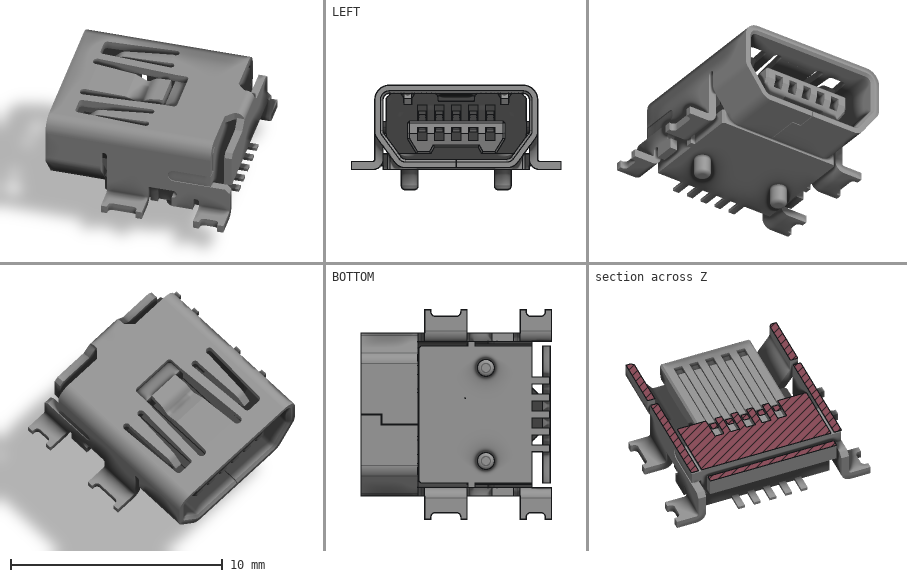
import cadquery as cq
import math


length = 9.0
foot_tip_y = 4.95
base_height = 0.76
top_z = 4.0
peg_length = 0.95
sheet = 0.4

half_width = 3.85
floor_z = 0.1
floor_vertex_y = 2.72
side_vertex_z = 1.64
top_radius = 0.7
lower_radius = 0.63
inner_half_width = half_width - sheet
ceiling_z = top_z - sheet
mouth_chamfer = 0.13

hood_end = 2.69
relief_width = 0.32
side_start = hood_end + relief_width
roof_end = 8.08
relief_top_z = 2.69

foot_bend_radius = 0.1
foot_bend_z = sheet + foot_bend_radius
front_foot = (side_start, 5.01)
rear_foot = (7.51, length)
foot_notch_margin = 0.3
foot_notch_depth = 0.31
foot_notch_radius = 0.2

latch_slot_start = 5.99
latch_slot_bottom = 1.7
latch_slot_top = 2.32
rear_corner_chamfer = 0.21
hook_top_z = 1.11
hook_height = 0.4
hook_end = 6.435
skirt_start = 6.18
skirt_end = 7.21
skirt_z = 0.19
rear_relief_top_z = 0.83
relief_corner = 0.12
relief_rounding = 0.15
slot_rounding = 0.49

seam_gap = 0.04
seam_step_x = 0.97
seam_step_y = 0.48

latch_root_x = 1.26
latch_bend_radius = 0.23
latch_line = [(latch_root_x, top_z), (3.15, 3.88), (3.81, 3.58), (4.19, 3.9), (4.91, 3.96)]
latch_root_half_width = 0.98
latch_tip_half_width = 0.77
latch_slot_left = 0.98
latch_slot_radius = 0.21
latch_outer_front = 1.4
latch_outer_rear = 1.17
latch_window_end = 5.68
latch_window_corner = 0.17

spring_y = 2.29
spring_root_x = 4.54
spring_line = [(1.62, 3.38), (2.1, 3.8), (spring_root_x, top_z)]
spring_root_half_width = 0.33
spring_tip_half_width = 0.15
spring_slot_x = 4.61
spring_slot_radius = 0.17
spring_bend_radius = 0.15
side_window_start = 1.14
side_window_corner = 0.16
side_window_front = 0.47
side_window_rear = 0.64

flap_end = 8.95
flap_thickness = 0.37
flap_half_width = 3.24
flap_top_z = 3.31
flap_bottom_z = 1.53
flap_corner = 0.2
neck_half_width = 0.89
neck_flare_end_z = 3.71
neck_flare = 0.38

wall_start = 5.01
wall_half_width = 3.32
rib_half_width = 3.81
rib_top_z = 2.29
wall_corner = 0.23
wall_slant_top_z = 1.39
wall_foot_half_width = 3.02
base_gap = 0.04
base_start = hood_end + base_gap
base_half_width = 3.24
base_lug_half_width = inner_half_width
base_corner = 0.1
base_lugs = (5.05, 5.4)
peg_x = 5.9
peg_y = 2.2
peg_diameter = 0.8
peg_round = 0.19

tongue_start = 0.45
tongue_top_z = 2.31
tongue_half_width = 2.31
tongue_chamfer = 0.1
tongue_slant_top_z = 1.47
tongue_foot_half_width = 1.88
channel_half_width = 1.03
channel_mouth_half_width = 1.2
channel_top_z = 1.08
tip_slant_top_z = 1.71
tip_slant_end = 0.86
same_height = 0.01

contact_count = 5
contact_pitch = 0.8
contact_width = 0.34
contact_thickness = 0.21
tail_thickness = 0.15
groove_width = 0.44
groove_start = 1.02
contact_top_z = 2.3
tail_end = 8.91
pocket_bottom_z = 1.39
pocket_top_z = 2.0
pocket_end = 2.38
recess_end = 6.14
recess_top_z = 3.07
contact_rear_z = 2.77
contact_line = [
    (1.13, 1.92),
    (1.5, contact_top_z),
    (5.15, contact_top_z),
    (5.64, 2.61),
    (5.74, contact_rear_z),
    (recess_end, contact_rear_z),
]


def box(x, y, z):
    """Box from (start, end) ranges along each axis."""
    size = (x[1] - x[0], y[1] - y[0], z[1] - z[0])
    return cq.Workplane("XY").box(*size, centered=False).translate((x[0], y[0], z[0]))


def along_x(points, start, end):
    """Closed YZ outline extruded from start to end along X."""
    return cq.Workplane("YZ", origin=(start, 0, 0)).polyline(points).close().extrude(end - start)


def along_y(points, width):
    """Closed XZ outline extruded symmetrically about Y = 0."""
    return cq.Workplane("XZ").polyline(points).close().extrude(width / 2, both=True)


def along_z(points, bottom, top):
    """Closed XY outline extruded between two heights."""
    return cq.Workplane("XY", origin=(0, 0, bottom)).polyline(points).close().extrude(top - bottom)


def symmetric(half_outline):
    """Complete a half outline given as (y, z) points with y >= 0."""
    return half_outline + [(-y, z) for y, z in reversed(half_outline)]


def both_sides(body):
    """The +Y body together with its mirror image at -Y."""
    return body.union(body.mirror("XZ"))


def section(outline, start, end):
    """Solid along X with the rounded upper corners of the shell's outer surface."""
    return along_x(outline, start, end).edges("|X and >Z").fillet(top_radius)


def hollow(solid, start, end):
    """Solid filling the space inside a one-sheet-thick wall of the given section."""
    outline = solid.faces("<X").wires().val().offset2D(-sheet)
    return cq.Workplane("YZ", origin=(start, 0, 0)).add(outline).toPending().extrude(end - start)


def hood():
    """Closed six-sided tube around the mouth."""
    outline = symmetric([
        (floor_vertex_y, floor_z),
        (half_width, side_vertex_z),
        (half_width, top_z),
    ])
    solid = section(outline, 0, hood_end)
    low_corners = cq.selectors.BoxSelector((0, -foot_tip_y, 0), (hood_end, foot_tip_y, latch_slot_top))
    solid = solid.edges("|X").edges(low_corners).fillet(lower_radius)
    tube = solid.cut(hollow(solid, 0, hood_end))
    mouth_edges = tube.faces("<X").val().innerWires()[0].Edges()
    return tube.newObject(mouth_edges).chamfer(mouth_chamfer).cut(floor_seam())


def floor_seam():
    """Narrow stepped joint where the folded sheet meets under the tongue."""
    half_gap = seam_gap / 2
    front = box((0, seam_step_x + half_gap), (-half_gap, half_gap), (0, base_height))
    step_x = (seam_step_x - half_gap, seam_step_x + half_gap)
    step = box(step_x, (-half_gap, seam_step_y + half_gap), (0, base_height))
    rear = box((seam_step_x, hood_end), (seam_step_y - half_gap, seam_step_y + half_gap), (0, base_height))
    return front.union(step).union(rear)


def side_openings():
    """Cutter for the openings through both side walls."""
    across = (-half_width, half_width)
    relief = box((hood_end, side_start), across, (-floor_z, relief_top_z))
    relief = relief.edges("|Y and >Z").fillet(relief_rounding)
    latch_slot = box((latch_slot_start, length), across, (latch_slot_bottom, latch_slot_top))
    latch_slot = latch_slot.edges("|Y and <X").fillet(slot_rounding * (latch_slot_top - latch_slot_bottom))
    rear_gap = box((roof_end, length), across, (latch_slot_bottom, top_z))
    window = box((front_foot[1], skirt_start), across, (-floor_z, hook_top_z))
    window = window.edges("|Y and >Z and <X").fillet(relief_corner)
    hook = box((front_foot[1] + relief_corner, hook_end), across, (hook_top_z - hook_height, hook_top_z))
    hook = hook.edges("|Y and >X").fillet(slot_rounding * hook_height)
    rear_relief = box((skirt_end, rear_foot[0]), across, (-floor_z, rear_relief_top_z))
    rear_relief = rear_relief.edges("|Y and >Z").fillet(relief_corner)
    cutter = relief.union(latch_slot).union(rear_gap).union(window)
    return cutter.union(hook).union(rear_relief)


def body_sheet():
    """Roof and straight side walls behind the hood."""
    outline = symmetric([(half_width, skirt_z), (half_width, top_z)])
    solid = section(outline, hood_end, length)
    inside = hollow(solid, hood_end, length)
    below = box((hood_end, length), (-inner_half_width, inner_half_width), (0, foot_bend_z + sheet))
    inside = inside.union(below)
    sheet_body = solid.cut(inside).cut(side_openings())
    for start, end in (front_foot, rear_foot):
        sheet_body = sheet_body.cut(box((start, end), (-half_width, half_width), (0, foot_bend_z)))
    corner = cq.selectors.BoxSelector(
        (roof_end, -foot_tip_y, latch_slot_bottom - rear_corner_chamfer),
        (length + sheet, foot_tip_y, latch_slot_bottom + rear_corner_chamfer))
    return sheet_body.edges("|Y").edges(corner).chamfer(rear_corner_chamfer)


def foot(start, end):
    """Solder foot bent outwards from the lower edge of the +Y side wall."""
    flat_start = half_width + foot_bend_radius
    outer_radius = foot_bend_radius + sheet
    diagonal = math.sqrt(0.5)
    profile = (
        cq.Workplane("YZ", origin=(start, 0, 0))
        .moveTo(inner_half_width, foot_bend_z)
        .threePointArc(
            (flat_start - outer_radius * diagonal, foot_bend_z - outer_radius * diagonal), (flat_start, 0))
        .lineTo(foot_tip_y, 0)
        .lineTo(foot_tip_y, sheet)
        .lineTo(flat_start, sheet)
        .threePointArc(
            (flat_start - foot_bend_radius * diagonal, foot_bend_z - foot_bend_radius * diagonal),
            (half_width, foot_bend_z))
        .close()
    )
    notch = box((start + foot_notch_margin, end - foot_notch_margin),
                (foot_tip_y - foot_notch_depth, foot_tip_y), (0, sheet))
    notch = notch.edges("|Z and <Y").fillet(foot_notch_radius)
    return profile.extrude(end - start).cut(notch)


def latch_window():
    """Roof opening around the central latch spring."""
    tapered_slots = along_z([
        (latch_slot_left + latch_slot_radius, latch_outer_front),
        (wall_start, latch_outer_rear),
        (wall_start, -latch_outer_rear),
        (latch_slot_left + latch_slot_radius, -latch_outer_front),
    ], ceiling_z, top_z)
    bridge = box((0, latch_root_x), (-latch_root_half_width, latch_root_half_width), (ceiling_z, top_z))
    window = tapered_slots.cut(bridge)
    slot_y = latch_outer_front - latch_slot_radius
    ends = (
        cq.Workplane("XY", origin=(0, 0, ceiling_z))
        .pushPoints([(latch_slot_left + latch_slot_radius, y) for y in (slot_y, -slot_y)])
        .circle(latch_slot_radius)
        .extrude(sheet)
    )
    rear = box((wall_start, latch_window_end), (-latch_outer_rear, latch_outer_rear), (ceiling_z, top_z))
    rear = rear.edges("|Z and >X").fillet(latch_window_corner)
    return window.union(ends).union(rear)


def latch_spring():
    """Central spring: runs rearwards, dips to a valley and rises to its free end."""
    profile = bent_strip(latch_line, sheet, rounded=(2, 3), inner_radius=latch_bend_radius)
    plan = along_z([
        (latch_root_x, latch_root_half_width),
        (wall_start, latch_tip_half_width),
        (wall_start, -latch_tip_half_width),
        (latch_root_x, -latch_root_half_width),
    ], 0, top_z)
    return profile.intersect(plan)


def bent_strip(top_line, thickness, rounded=(), inner_radius=0.0):
    """Strip below an XZ line of points towards +X, as wide as the part, with ends square to it.

    The bends whose positions in the line are listed in rounded get concentric round faces
    with inner_radius on the hollow side.
    """
    angles = [math.atan2(z1 - z0, x1 - x0) for (x0, z0), (x1, z1) in zip(top_line, top_line[1:])]
    before = angles[:1] + angles
    after = angles + angles[-1:]
    underside = []
    for (x, z), angle_in, angle_out in zip(top_line, before, after):
        middle = (angle_in + angle_out) / 2
        reach = thickness / math.cos((angle_out - angle_in) / 2)
        underside.append((x + reach * math.sin(middle), z - reach * math.cos(middle)))
    strip = along_y(top_line + underside[::-1], 2 * half_width)
    for bend in rounded:
        top_is_outside = after[bend] < before[bend]
        outside, inside = (top_line, underside) if top_is_outside else (underside, top_line)
        strip = round_edge(strip, outside[bend], inner_radius + thickness)
        strip = round_edge(strip, inside[bend], inner_radius)
    return strip


def round_edge(strip, point, radius):
    """Fillet the edge that crosses the strip at an XZ point."""
    x, z = point
    return strip.edges(cq.selectors.NearestToPointSelector((x, 0, z))).fillet(radius)


def side_window():
    """Roof opening around the +Y grounding spring."""
    opening = along_z([
        (side_window_start, spring_y + side_window_front),
        (spring_slot_x, spring_y + side_window_rear),
        (spring_slot_x, spring_y - side_window_rear),
        (side_window_start, spring_y - side_window_front),
    ], ceiling_z, top_z)
    opening = opening.edges("|Z and <X").fillet(side_window_corner)
    root = (spring_y - spring_root_half_width, spring_y + spring_root_half_width)
    bridge = box((spring_root_x, length), root, (ceiling_z, top_z))
    slot_offset = side_window_rear - spring_slot_radius
    ends = (
        cq.Workplane("XY", origin=(0, 0, ceiling_z))
        .pushPoints([(spring_slot_x, spring_y + side * slot_offset) for side in (1, -1)])
        .circle(spring_slot_radius)
        .extrude(sheet)
    )
    return opening.cut(bridge).union(ends)


def side_spring():
    """+Y grounding spring: slopes forwards from its root, then bends down to its tip."""
    profile = bent_strip(spring_line, sheet, rounded=(1,), inner_radius=spring_bend_radius)
    plan = along_z([
        (spring_root_x, spring_y + spring_root_half_width),
        (side_window_start, spring_y + spring_tip_half_width),
        (side_window_start, spring_y - spring_tip_half_width),
        (spring_root_x, spring_y - spring_root_half_width),
    ], 0, top_z)
    return profile.intersect(plan)


def rear_flap():
    """Narrow roof neck bent down into a wide plate behind the housing."""
    neck = along_z([
        (roof_end, neck_half_width + neck_flare),
        (roof_end + neck_flare, neck_half_width),
        (flap_end, neck_half_width),
        (flap_end, -neck_half_width),
        (roof_end + neck_flare, -neck_half_width),
        (roof_end, -neck_half_width - neck_flare),
    ], ceiling_z, top_z)
    plate = along_x(symmetric([
        (flap_half_width, flap_bottom_z),
        (flap_half_width, flap_top_z - flap_corner),
        (flap_half_width - flap_corner, flap_top_z),
        (neck_half_width + neck_flare_end_z - flap_top_z, flap_top_z),
        (neck_half_width, neck_flare_end_z),
        (neck_half_width, top_z),
    ]), flap_end - flap_thickness, flap_end)
    flap = neck.union(plate)
    return flap.edges("|Y and >Z and >X").fillet(flap_thickness)


def shell():
    body = hood().union(body_sheet()).union(rear_flap())
    for start, end in (front_foot, rear_foot):
        body = body.union(both_sides(foot(start, end)))
    body = body.cut(latch_window()).cut(both_sides(side_window()))
    return body.union(latch_spring()).union(both_sides(side_spring()))


def base():
    """Plate on the circuit board, with bevelled front corners and a lug on each side."""
    half = [
        (base_start, base_half_width - base_corner),
        (base_start + base_corner, base_half_width),
        (roof_end, base_half_width),
    ]
    plate = along_z(half + [(x, -y) for x, y in reversed(half)], 0, base_height)
    return plate.union(box(base_lugs, (-base_lug_half_width, base_lug_half_width), (0, base_height)))


def wall():
    """Rear wall that carries the tongue and reaches the roof."""
    outline = symmetric([
        (wall_foot_half_width, base_height),
        (wall_half_width, wall_slant_top_z),
        (wall_half_width, ceiling_z - wall_corner),
        (wall_half_width - wall_corner, ceiling_z),
    ])
    across = (-rib_half_width, rib_half_width)
    ribs = box((latch_slot_start, roof_end), across, (latch_slot_bottom, rib_top_z))
    ribs = ribs.edges("|Y and <X").fillet(slot_rounding * (rib_top_z - latch_slot_bottom))
    return along_x(outline, wall_start, roof_end).union(ribs)


def tongue():
    """Contact carrier with a slanted underside at its tip and a channel below."""
    body = along_x(symmetric([
        (tongue_foot_half_width, base_height),
        (tongue_half_width, tongue_slant_top_z),
        (tongue_half_width, tongue_top_z),
    ]), tongue_start, wall_start)
    body = body.cut(along_x(symmetric([
        (channel_mouth_half_width, base_height),
        (channel_half_width, channel_top_z),
    ]), tongue_start, base_start))
    tip_cut = along_y([
        (tongue_start, tip_slant_top_z),
        (tip_slant_end, base_height),
        (tongue_start, base_height),
    ], 2 * tongue_half_width)
    body = body.cut(tip_cut)
    tip_face = body.faces("<X").val()
    slant_face = body.faces(cq.selectors.NearestToPointSelector(
        ((tongue_start + tip_slant_end) / 2, 0, (tip_slant_top_z + base_height) / 2))).val()
    rim = [edge for edge in tip_face.Edges() + slant_face.Edges()
           if abs(edge.Center().z - tip_slant_top_z) > same_height]
    return body.newObject(rim + body.edges("|X and >Z").vals()).chamfer(tongue_chamfer)


def groove(y):
    """Space around one contact: mouth at the tip, open top and recess in the wall."""
    sides = (y - groove_width / 2, y + groove_width / 2)
    mouth = box((tongue_start, pocket_end), sides, (pocket_bottom_z, pocket_top_z))
    bed = box((groove_start, wall_start), sides, (contact_top_z - contact_thickness, tongue_top_z))
    recess = box((wall_start, recess_end), sides, (contact_top_z - contact_thickness, recess_top_z))
    return mouth.union(bed).union(recess)


def contact(y):
    """Spring contact lying in its groove, and its solder tail behind the housing."""
    width = (y - contact_width / 2, y + contact_width / 2)
    spring = bent_strip(contact_line, contact_thickness)
    spring = spring.intersect(box((0, length), width, (0, top_z)))
    tail = box((roof_end, tail_end), width, (0, tail_thickness))
    return spring.union(tail)


def peg(y):
    post = cq.Workplane("XY", origin=(peg_x, y, -peg_length)).circle(peg_diameter / 2).extrude(peg_length)
    return post.faces("<Z").edges().fillet(peg_round)


def housing():
    body = base().union(wall()).union(tongue())
    middle = (contact_count - 1) / 2
    rows = [(i - middle) * contact_pitch for i in range(contact_count)]
    for y in rows:
        body = body.cut(groove(y))
    for y in rows:
        body = body.union(contact(y))
    return body.union(both_sides(peg(peg_y)))


result = shell().union(housing())